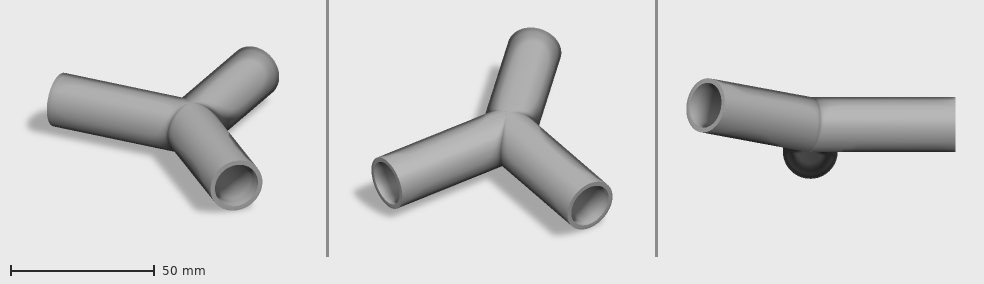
import cadquery as cq
import math

OUTER_DIAMETER = 19.05
BORE_DIAMETER = 15.75
TUBE_LENGTH = 50.8

FULL_TURN = 360.0
STEM_ANGLE = 0.0
LEFT_BRANCH_ANGLE = 135.0
RIGHT_BRANCH_ANGLE = 225.0

STEM_LEFT_MITRE = (STEM_ANGLE + LEFT_BRANCH_ANGLE) / 2
BRANCH_MITRE = (LEFT_BRANCH_ANGLE + RIGHT_BRANCH_ANGLE) / 2
RIGHT_STEM_MITRE = (RIGHT_BRANCH_ANGLE + STEM_ANGLE + FULL_TURN) / 2

SECTOR_REACH = 4 * TUBE_LENGTH


def point_at(angle, distance):
    """Point in the XY plane at a direction in degrees and a distance from the joint centre."""
    direction = math.radians(angle)
    return (distance * math.cos(direction), distance * math.sin(direction))


def full_tube(axis_angle):
    """Tube from the joint centre outward, before its inner end is mitred."""
    return (
        cq.Workplane("YZ")
        .circle(OUTER_DIAMETER / 2)
        .circle(BORE_DIAMETER / 2)
        .extrude(TUBE_LENGTH)
        .rotate((0, 0, 0), (0, 0, 1), axis_angle)
    )


def mitre_sector(start_angle, axis_angle, end_angle):
    """Block between two mitre planes, holding the space that belongs to one tube."""
    return (
        cq.Workplane("XY")
        .moveTo(0, 0)
        .lineTo(*point_at(start_angle, SECTOR_REACH))
        .lineTo(*point_at(axis_angle, SECTOR_REACH))
        .lineTo(*point_at(end_angle, SECTOR_REACH))
        .close()
        .extrude(OUTER_DIAMETER, both=True)
    )


def mitred_tube(start_angle, axis_angle, end_angle):
    """One tube, cut at its inner end by the mitre planes on either side of its axis."""
    sector = mitre_sector(start_angle, axis_angle, end_angle)
    return full_tube(axis_angle).intersect(sector).solids()


stem = mitred_tube(RIGHT_STEM_MITRE, STEM_ANGLE, STEM_LEFT_MITRE)
left_branch = mitred_tube(STEM_LEFT_MITRE, LEFT_BRANCH_ANGLE, BRANCH_MITRE)
right_branch = mitred_tube(BRANCH_MITRE, RIGHT_BRANCH_ANGLE, RIGHT_STEM_MITRE)

result = cq.Compound.makeCompound([stem.val(), left_branch.val(), right_branch.val()])